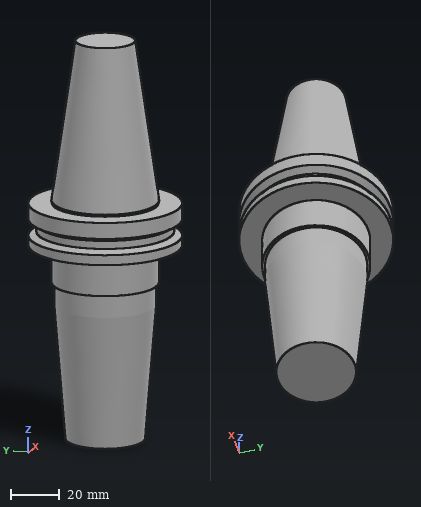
import cadquery as cq

total_length = 169.8
taper_length = 68.5
collar_height = 0.8
flange_height = 18.0
shoulder_height = 15.8
neck_height = 9.7

flange_diameter = 63.5
taper_large_diameter = 44.5
taper_small_diameter = 24.8
collar_diameter = 43.8
shoulder_diameter = 44.5
neck_diameter = 42.1
nose_tip_diameter = 33.0

upper_rim_height = 6.8
lower_rim_height = 4.2
groove_floor_height = 3.4
groove_floor_diameter = 56.9

taper_base_z = total_length - taper_length
flange_top_z = taper_base_z - collar_height
flange_bottom_z = flange_top_z - flange_height
shoulder_bottom_z = flange_bottom_z - shoulder_height
nose_top_z = shoulder_bottom_z - neck_height
groove_bottom_z = flange_bottom_z + lower_rim_height
groove_top_z = flange_top_z - upper_rim_height
groove_middle_z = (groove_bottom_z + groove_top_z) / 2
floor_bottom_z = groove_middle_z - groove_floor_height / 2
floor_top_z = groove_middle_z + groove_floor_height / 2

profile = [
    (nose_tip_diameter, 0),
    (neck_diameter, nose_top_z),
    (neck_diameter, shoulder_bottom_z),
    (shoulder_diameter, shoulder_bottom_z),
    (shoulder_diameter, flange_bottom_z),
    (flange_diameter, flange_bottom_z),
    (flange_diameter, groove_bottom_z),
    (groove_floor_diameter, floor_bottom_z),
    (groove_floor_diameter, floor_top_z),
    (flange_diameter, groove_top_z),
    (flange_diameter, flange_top_z),
    (collar_diameter, flange_top_z),
    (collar_diameter, taper_base_z),
    (taper_large_diameter, taper_base_z),
    (taper_small_diameter, total_length),
]

half_outline = [(0, 0)]
half_outline += [(diameter / 2, z) for diameter, z in profile]
half_outline += [(0, total_length)]

result = cq.Workplane("XZ").polyline(half_outline).close().revolve(360, (0, 0), (0, 1))